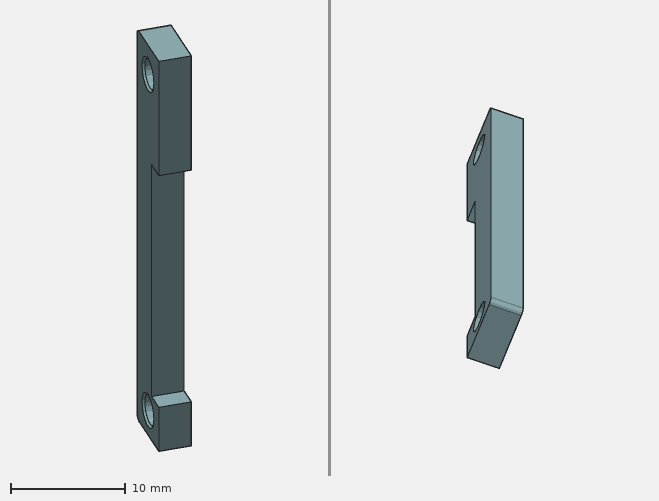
import cadquery as cq

width = 6.0
depth = 3.0
height = 39.7
corner_radius = 0.5

notch_depth = 2.0
lower_pad_height = 4.5
upper_pad_height = 11.65

hole_diameter = 2.8
hole_chamfer = 0.2
upper_hole_offset = width / 2
lower_hole_offset = 2.5


def make_bar():
    """Bar with its -X, -Y, bottom corner at the origin and rounded -X corners."""
    bar = cq.Workplane("XY").box(width, depth, height, centered=False)
    return bar.edges("|Y and <X").fillet(corner_radius)


def make_notch():
    notch_height = height - lower_pad_height - upper_pad_height
    notch = cq.Workplane("XY").box(notch_depth, depth, notch_height, centered=False)
    return notch.translate((width - notch_depth, 0, lower_pad_height))


def make_hole(z):
    """Cutter for a through hole along Y with a chamfered front mouth."""
    center = cq.Vector(width / 2, 0, z)
    inward = cq.Vector(0, 1, 0)
    radius = hole_diameter / 2
    bore = cq.Solid.makeCylinder(radius, depth, center, inward)
    mouth = cq.Solid.makeCone(radius + hole_chamfer, radius, hole_chamfer, center, inward)
    return bore.fuse(mouth)


result = make_bar().cut(make_notch())
for hole_z in (lower_hole_offset, height - upper_hole_offset):
    result = result.cut(cq.Workplane(make_hole(hole_z)))